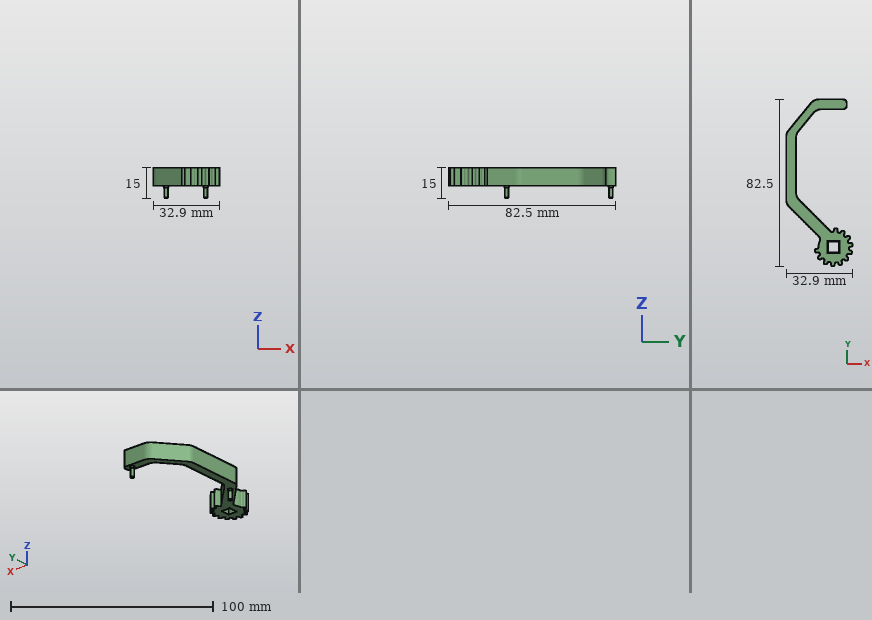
import cadquery as cq
import math

thickness = 9.1

tooth_count = 11
tooth_pitch = 25.1
first_tooth_angle = 192.0
tooth_radius = 1.0
tooth_centre_radius = 8.5
gap_centre_radius = 8.4
half_pitch = tooth_pitch / 2
tooth_to_gap = math.sqrt(
    tooth_centre_radius**2
    + gap_centre_radius**2
    - 2 * tooth_centre_radius * gap_centre_radius * math.cos(math.radians(half_pitch))
)
gap_radius = tooth_to_gap - tooth_radius
tip_radius = tooth_centre_radius + tooth_radius
root_radius = gap_centre_radius - gap_radius

hole_side = 5.2
hole_chamfer = 0.5

arm_left = -23.5
arm_top = 73.0
arm_end = 6.5
bar_width = 5.0
brace_angle = 50.6
brace_slope = math.tan(math.radians(brace_angle))
outer_brace_start = 56.15
inner_brace_start = 55.8
shank_outer_sum = -2.1
shank_inner_sum = 6.35
bend_radius = 5.0
end_radius = 2.0
neck_radius = 2.0

pin_diameter = 2.0
pin_length = 5.9
pin_tip_chamfer = 0.4
pin_base_flare = 0.3
pin_base_height = 1.0
pin_places = [(2.5, arm_top - bar_width / 2), (-17.1, 19.05)]


def polar(radius, angle):
    """Point at a radius and an angle in degrees about the gear axis."""
    a = math.radians(angle)
    return (radius * math.cos(a), radius * math.sin(a))


def between(start, end, distance):
    """Point at a distance from start on the way to end."""
    share = distance / math.dist(start, end)
    return tuple(s + (e - s) * share for s, e in zip(start, end))


def arc_middle(centre, start, end):
    """Middle of the shorter arc about centre from start to end."""
    chord_middle = tuple((s + e) / 2 for s, e in zip(start, end))
    return between(centre, chord_middle, math.dist(centre, start))


def make_gear():
    start_angle = first_tooth_angle - half_pitch
    outline = cq.Workplane("XY").moveTo(*polar(root_radius, start_angle))
    for i in range(tooth_count):
        angle = first_tooth_angle + i * tooth_pitch
        tooth = polar(tooth_centre_radius, angle)
        gap_before = polar(gap_centre_radius, angle - half_pitch)
        gap_after = polar(gap_centre_radius, angle + half_pitch)
        flank_in = between(tooth, gap_before, tooth_radius)
        flank_out = between(tooth, gap_after, tooth_radius)
        mid_in = arc_middle(gap_before, polar(root_radius, angle - half_pitch), flank_in)
        mid_out = arc_middle(gap_after, flank_out, polar(root_radius, angle + half_pitch))
        outline = (
            outline.threePointArc(mid_in, flank_in)
            .threePointArc(polar(tip_radius, angle), flank_out)
            .threePointArc(mid_out, polar(root_radius, angle + half_pitch))
        )
    end_angle = start_angle + tooth_count * tooth_pitch
    plain_middle = (end_angle + start_angle + 360) / 2
    outline = outline.threePointArc(
        polar(root_radius, plain_middle), polar(root_radius, start_angle)
    ).close()
    return outline.extrude(thickness)


def make_arm():
    upright_inner = arm_left + bar_width
    bar_bottom = arm_top - bar_width
    outer_top = (arm_left + (arm_top - outer_brace_start) / brace_slope, arm_top)
    inner_top = (upright_inner + (bar_bottom - inner_brace_start) / brace_slope, bar_bottom)
    outer_bends = [
        (arm_left, shank_outer_sum - arm_left),
        (arm_left, outer_brace_start),
        outer_top,
    ]
    inner_bends = [
        inner_top,
        (upright_inner, inner_brace_start),
        (upright_inner, shank_inner_sum - upright_inner),
    ]
    end_corners = [(arm_end, arm_top), (arm_end, bar_bottom)]
    shank_end = [(s / 2, s / 2) for s in (shank_inner_sum, shank_outer_sum)]
    arm = cq.Workplane("XY").polyline(outer_bends + end_corners + inner_bends + shank_end)
    arm = arm.close().extrude(thickness)
    arm = round_corners(arm, outer_bends + inner_bends, bend_radius)
    return round_corners(arm, end_corners, end_radius)


def round_corners(body, corners, radius):
    """Fillet the upright edge nearest to each (x, y) corner."""
    for x, y in corners:
        edge = cq.selectors.NearestToPointSelector((x, y, thickness / 2))
        body = body.edges("|Z").edges(edge).fillet(radius)
    return body


def make_pin():
    """Pin hanging from the underside: flared root, plain shaft, chamfered tip."""
    radius = pin_diameter / 2
    half_section = [
        (0, 0),
        (radius + pin_base_flare, 0),
        (radius, -pin_base_height),
        (radius, pin_tip_chamfer - pin_length),
        (radius - pin_tip_chamfer, -pin_length),
        (0, -pin_length),
    ]
    return cq.Workplane("XZ").polyline(half_section).close().revolve(360, (0, 0), (0, 1))


def cut_square_hole(body):
    hole = cq.Workplane("XY").rect(hole_side, hole_side).extrude(thickness)
    mouth_side = hole_side + 2 * hole_chamfer
    mouth = (
        cq.Workplane("XY", origin=(0, 0, thickness))
        .rect(mouth_side, mouth_side)
        .extrude(-hole_chamfer, taper=45)
    )
    return body.cut(hole).cut(mouth)


body = make_gear().union(make_arm())

neck_half = math.sqrt(2 * root_radius**2 - shank_outer_sum**2)
neck = ((shank_outer_sum - neck_half) / 2, (shank_outer_sum + neck_half) / 2)
body = round_corners(body, [neck], neck_radius)

result = cut_square_hole(body)
for x, y in pin_places:
    result = result.union(make_pin().translate((x, y, 0)))